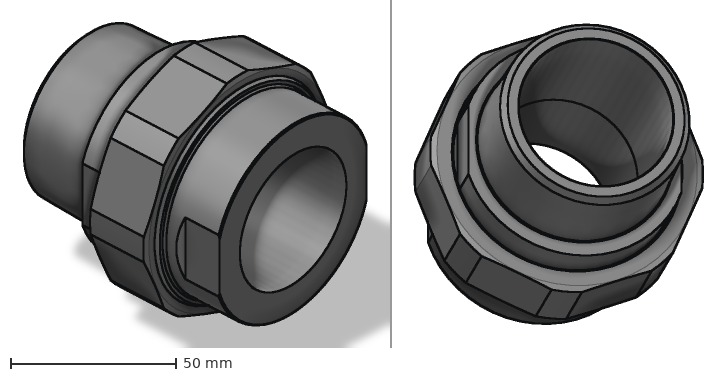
import cadquery as cq
import math

length = 85.3
bore_radius = 48.0 / 2
flat_offset = 33.1
overcut = 8.5

tip_chamfer_length = 1.8
tip_radius = 27.5
bore_chamfer = 0.2
taper_start_radius = 29.4
flare_radius = 61.5 / 2
taper_end_x = 28.6
collar_x = 29.1
root_radius = 30.45
collar_radius = 70.0 / 2
flange_radius = 74.4 / 2

nut_x = 40.1
nut_end_x = 63.0
nut_corner_radius = 84.7 / 2
nut_across_flats = 81.4
nut_sides = 8
nut_face_radius = 40.4
nut_chamfer_length = 0.6
lip_radius = 70.5 / 2
lip_chamfer = 0.6
lip_length = 4.3
flange_length = 5.1

thread_radius = 75.8 / 2
thread_tip_radius = 74.0 / 2
thread_end_x = 64.3
relief_radius = 35.7
body_x = 65.2
body_radius = 70.0 / 2
end_chamfer = 0.4
body_flat_x = 71.2

flange_x = nut_x + lip_length
joint_x = flange_x + flange_length


def revolve_profile(points):
    """Revolve (x, radius) points about the X axis."""
    return cq.Workplane("XY").polyline(points).close().revolve(360, (0, 0, 0), (1, 0, 0))


def make_male_end():
    body = revolve_profile([
        (bore_chamfer, bore_radius),
        (0, bore_radius + bore_chamfer),
        (0, tip_radius),
        (tip_chamfer_length, taper_start_radius),
        (taper_end_x, root_radius),
        (collar_x, flare_radius),
        (collar_x, collar_radius),
        (flange_x, collar_radius),
        (flange_x, flange_radius),
        (joint_x, flange_radius),
        (joint_x, bore_radius),
    ])
    for side in (-1, 1):
        cutter = cq.Workplane("XY").box(
            flange_x - collar_x, overcut, length, centered=(False, True, True)
        ).translate((collar_x, side * (flat_offset + overcut / 2), 0))
        body = body.cut(cutter)
    return body


def make_nut():
    circumscribed_diameter = nut_across_flats / math.cos(math.pi / nut_sides)
    octagon = (
        cq.Workplane("YZ", origin=(nut_x, 0, 0))
        .polygon(nut_sides, circumscribed_diameter)
        .extrude(nut_end_x - nut_x)
    )
    blank = revolve_profile([
        (nut_x, lip_radius + lip_chamfer),
        (nut_x, nut_face_radius),
        (nut_x + nut_chamfer_length, nut_corner_radius),
        (nut_end_x - nut_chamfer_length, nut_corner_radius),
        (nut_end_x, nut_face_radius),
        (nut_end_x, thread_radius),
        (flange_x, thread_radius),
        (flange_x, lip_radius),
        (nut_x + lip_chamfer, lip_radius),
    ])
    return octagon.intersect(blank)


def make_female_end():
    body = revolve_profile([
        (joint_x, bore_radius),
        (joint_x, thread_radius),
        (nut_end_x, thread_radius),
        (thread_end_x, thread_tip_radius),
        (thread_end_x, relief_radius),
        (body_x, body_radius),
        (length - end_chamfer, body_radius),
        (length, body_radius - end_chamfer),
        (length, bore_radius),
    ])
    for side in (-1, 1):
        cutter = (
            cq.Workplane("XY", origin=(0, 0, -length / 2))
            .polyline([
                (body_flat_x, side * flat_offset),
                (length + overcut, side * flat_offset),
                (length + overcut, side * (flat_offset + overcut)),
                (body_flat_x - overcut, side * (flat_offset + overcut)),
            ])
            .close()
            .extrude(length)
        )
        body = body.cut(cutter)
    return body


male_end = make_male_end()
nut = make_nut()
female_end = make_female_end()

result = cq.Compound.makeCompound([male_end.val(), nut.val(), female_end.val()])